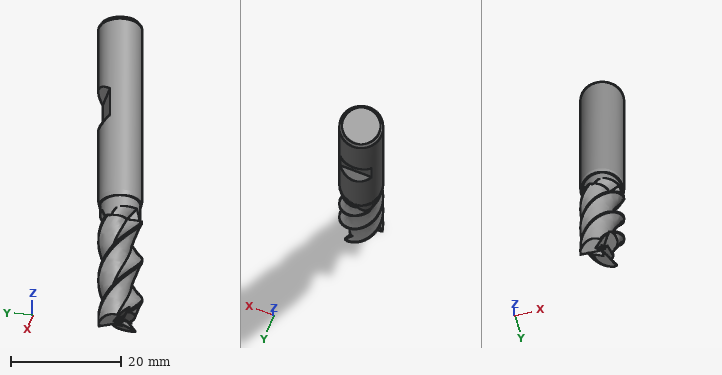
import cadquery as cq
import math

TOTAL_LENGTH = 63.0
DIAMETER = 8.0
RADIUS = DIAMETER / 2

SHANK_START = 25.95
SHANK_CHAMFER_LENGTH = 0.75
SHANK_CHAMFER_WIDTH = 0.5
NECK_RADIUS = 3.65
NECK_CONE_LENGTH = 0.95
NECK_CONE_STEP = 0.2
FLAT_OFFSET = 2.6
FLAT_LENGTH = 5.5
FLAT_CENTRE_Z = 45.0

TEETH = 3
TOOTH_PITCH = 360 / TEETH
CUTTER_LENGTH = 21.1
HELIX_ANGLE = 45.0
LEAD = math.pi * DIAMETER / math.tan(math.radians(HELIX_ANGLE))
CUTTER_TWIST = 360 * CUTTER_LENGTH / LEAD
FIRST_TOOTH_ANGLE = 183.0
LAND_ANGLE = 7.0

BACK_POINTS = [(16.0, 3.65), (31.0, 3.2), (45.0, 2.85), (62.0, 2.4), (79.0, 2.0)]

RAKE_MIDDLE = (97.0, 2.5)
RAKE_STRIP_START = (111.5, 3.35)

RUNOUT_HEIGHT = 3.15
RUNOUT_SHIFT = 2.95
RUNOUT_DIRECTION = 118.0
FLUTE_MOUTH_RADIUS = 2 * DIAMETER

RELIEF_ANGLE = 17.0
DISH_ANGLE = 1.0
GASH_HEIGHT = 1.9
GASH_WIDTH = 1.6
GASH_UNDERCUT = 0.9
CLEARANCE = 0.6


def polar(angle, radius):
    """Point at an angle in degrees and a radius."""
    return (radius * math.cos(math.radians(angle)), radius * math.sin(math.radians(angle)))


def draw_flute(outline, edge_angle):
    """Continue an outline from the end of a land, down the tooth back and up to the next edge."""
    back = [polar(edge_angle + angle, radius) for angle, radius in BACK_POINTS]
    rake_middle, strip_start = [
        polar(edge_angle + angle, radius) for angle, radius in (RAKE_MIDDLE, RAKE_STRIP_START)
    ]
    next_edge = polar(edge_angle + TOOTH_PITCH, RADIUS)
    outline = outline.spline(back, includeCurrent=True)
    return outline.threePointArc(rake_middle, strip_start).lineTo(*next_edge)


def fluted_bar():
    """Twisted bar with the three-tooth cross-section."""
    section = cq.Workplane("XY").moveTo(*polar(FIRST_TOOTH_ANGLE, RADIUS))
    for tooth in range(TEETH):
        edge_angle = FIRST_TOOTH_ANGLE + tooth * TOOTH_PITCH
        land_middle = polar(edge_angle + LAND_ANGLE / 2, RADIUS)
        land_end = polar(edge_angle + LAND_ANGLE, RADIUS)
        section = draw_flute(section.threePointArc(land_middle, land_end), edge_angle)
    return section.close().twistExtrude(CUTTER_LENGTH, CUTTER_TWIST)


def relief_cutter():
    """Space below the sloping end face of a tooth whose cutting edge lies along +X."""
    reach = RADIUS + CLEARANCE
    rise = reach * math.tan(math.radians(RELIEF_ANGLE))
    below = (
        cq.Workplane("YZ")
        .polyline([(0, 0), (reach, rise), (reach, -reach), (-CLEARANCE, -reach), (-CLEARANCE, 0)])
        .close()
        .extrude(reach, both=True)
        .rotate((RADIUS, 0, 0), (RADIUS, 1, 0), DISH_ANGLE)
    )
    sector_rim = [polar(angle, 2 * reach) for angle in (0, TOOTH_PITCH / 2, TOOTH_PITCH)]
    sector = (
        cq.Workplane("XY")
        .workplane(offset=-reach)
        .polyline([(0, 0)] + sector_rim)
        .close()
        .extrude(2 * reach)
    )
    return below.intersect(sector)


def gash_cutter():
    """Notch in front of a cutting edge along +X: a wall leaning into the tooth and a sloping floor."""
    return (
        cq.Workplane("YZ")
        .polyline(
            [
                (0, -CLEARANCE),
                (0, 0),
                (GASH_UNDERCUT, GASH_HEIGHT),
                (-GASH_WIDTH, 0),
                (-GASH_WIDTH, -CLEARANCE),
            ]
        )
        .close()
        .extrude(RADIUS + CLEARANCE)
    )


def make_cutting_part():
    cutter = fluted_bar()
    for tooth in range(TEETH):
        angle = FIRST_TOOTH_ANGLE + tooth * TOOTH_PITCH
        for tool in (relief_cutter(), gash_cutter()):
            cutter = cutter.cut(tool.rotate((0, 0, 0), (0, 0, 1), angle))
    return cutter


def clamping_flat_cutter():
    """Space above the clamping flat, with 45 degree ends, on the +Y side."""
    depth = RADIUS + CLEARANCE - FLAT_OFFSET
    half_floor = FLAT_LENGTH / 2
    return (
        cq.Workplane("YZ")
        .polyline(
            [
                (FLAT_OFFSET, FLAT_CENTRE_Z - half_floor),
                (FLAT_OFFSET, FLAT_CENTRE_Z + half_floor),
                (FLAT_OFFSET + depth, FLAT_CENTRE_Z + half_floor + depth),
                (FLAT_OFFSET + depth, FLAT_CENTRE_Z - half_floor - depth),
            ]
        )
        .close()
        .extrude(DIAMETER, both=True)
    )


def runout_cutter(edge_angle):
    """Flute cross-section at the top of the cutting part, moving outward as it rises."""
    land_end = polar(edge_angle + LAND_ANGLE, RADIUS)
    mouth = [
        polar(edge_angle + TOOTH_PITCH, FLUTE_MOUTH_RADIUS),
        polar(edge_angle, FLUTE_MOUTH_RADIUS),
    ]
    outline = cq.Workplane("XY").workplane(offset=CUTTER_LENGTH).moveTo(*land_end)
    outline = draw_flute(outline, edge_angle)
    for corner in mouth:
        outline = outline.lineTo(*corner)
    shift = polar(edge_angle + RUNOUT_DIRECTION, RUNOUT_SHIFT)
    path = cq.Vector(shift[0], shift[1], RUNOUT_HEIGHT)
    return cq.Solid.extrudeLinear(outline.close().val(), [], path)


def make_shank():
    cone_radius = RADIUS - NECK_CONE_STEP
    cone_end = SHANK_START - NECK_CONE_LENGTH
    body = (
        cq.Workplane("XZ")
        .polyline(
            [
                (0, CUTTER_LENGTH),
                (NECK_RADIUS, CUTTER_LENGTH),
                (NECK_RADIUS, cone_end),
                (cone_radius, cone_end),
                (RADIUS, SHANK_START),
                (RADIUS, TOTAL_LENGTH - SHANK_CHAMFER_LENGTH),
                (RADIUS - SHANK_CHAMFER_WIDTH, TOTAL_LENGTH),
                (0, TOTAL_LENGTH),
            ]
        )
        .close()
        .revolve(360, (0, 0, 0), (0, 1, 0))
    )
    body = body.cut(clamping_flat_cutter())
    for tooth in range(TEETH):
        body = body.cut(runout_cutter(FIRST_TOOTH_ANGLE + CUTTER_TWIST + tooth * TOOTH_PITCH))
    return body


cutting_part = make_cutting_part()
shank = make_shank()

result = cq.Compound.makeCompound([cutting_part.val(), shank.val()])